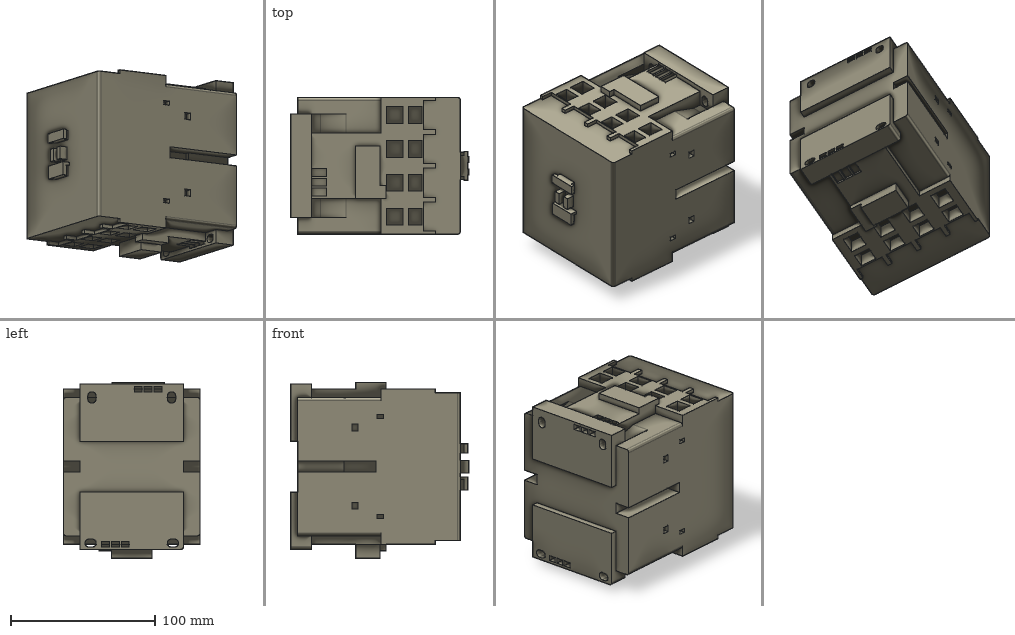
import cadquery as cq


width = 95.0
half_width = width / 2
back_x = 4.7
terminal_x = 62.5
terminal_step_x = 92.3
rib_end_x = 100.4
face_x = 117.75
terminal_top = 54.0
cover_top = 51.4
ledge_top = 48.0
edge_radius = 2.0

pole_pitch = 23.5
pole_count = 4
inner_rib_width = 3.3
outer_rib_width = 2.3

opening_width = 11.6
opening_depth = 14.0
wire_opening_x = (66.5, 78.0)
screw_opening_x = (81.8, 91.2)

bridge_half_width = 22.7
clip_x = (45.1, 62.0)
clip_tab_end_x = 66.2
clip_top = 58.5
clip_far_y = 13.8
tab_inner_y = 13.7
latch_half_width = 14.1
latch_bottom = 63.6

plate_half_width = 36.0
plate_end_x = 14.45
plate_inner_z = 17.6
plate_outer_z = 57.5

ramp_start_x = 20.6
ramp_end_x = 38.5
ramp_floor_z = 42.7

upper_slot_y = 27.65
upper_slot_z = 48.05
upper_slot_width = 5.8
lower_slot_y = 28.55
lower_slot_z = -53.0
lower_slot_width = 5.5
slot_length = 7.8

window_count = 3
window_pitch = 6.8
window_width = 5.4
window_z = (51.8, 55.6)
window_row_y = 11.35
window_end_x = 24.9

groove_height = 7.7
groove_step_x = 37.0
groove_end_x = 59.1
groove_depth = half_width - plate_half_width
groove_undercut = 3.0
groove_deep_depth = groove_depth + groove_undercut
side_pocket_depth = 5.0
square_pocket = (44.65, 27.1, 4.4, 4.7)
narrow_pocket = (62.1, 34.7, 4.5, 2.8)

carrier_neck_x = 120.4
carrier_head_x = 123.0
upper_carrier_half_width = 10.0
lower_carrier_half_width = 9.5
neck_half_width = 7.3
upper_carrier_z = (9.4, 16.0)
lower_carrier_z = (-16.2, -7.0)
lower_lip_z = -9.0
prong_end_x = 123.55
prong_half_height = 4.4
prong_y = (2.2, 6.4)


def block(x_range, y_range, z_range):
    """Axis-aligned block between pairs of limits."""
    size = [abs(limits[1] - limits[0]) for limits in (x_range, y_range, z_range)]
    corner = [min(limits) for limits in (x_range, y_range, z_range)]
    return cq.Workplane("XY").box(*size, centered=False).translate(tuple(corner))


def centred_block(x_range, half_y, z_range):
    """Block that is symmetric about Y = 0."""
    return block(x_range, (-half_y, half_y), z_range)


def make_housing():
    back = centred_block((back_x, terminal_x), half_width, (-ledge_top, ledge_top))
    back = back.edges("|X").fillet(edge_radius)
    terminals = centred_block((terminal_x, terminal_step_x), half_width, (-terminal_top, terminal_top))
    cover = centred_block((terminal_step_x, face_x), half_width, (-cover_top, cover_top))
    cover = cover.edges("|Z and >X").fillet(edge_radius)
    bridge = centred_block((back_x, terminal_x), bridge_half_width, (-terminal_top, terminal_top))
    return back.union(terminals).union(cover).union(bridge)


def make_ribs():
    """Ribs over the cover, between and outside the poles, on both ends."""
    rib_x = (terminal_step_x, rib_end_x)
    rib_z = (-terminal_top, terminal_top)
    outer_y = half_width - outer_rib_width
    ribs = block(rib_x, (outer_y, half_width), rib_z)
    ribs = ribs.union(block(rib_x, (-half_width, -outer_y), rib_z))
    for index in (-1, 0, 1):
        rib_y = index * pole_pitch
        sides = (rib_y - inner_rib_width / 2, rib_y + inner_rib_width / 2)
        ribs = ribs.union(block(rib_x, sides, rib_z))
    return ribs


def make_terminal_openings():
    openings = cq.Workplane("XY")
    for index in range(pole_count):
        pole_y = (index - (pole_count - 1) / 2) * pole_pitch
        sides = (pole_y - opening_width / 2, pole_y + opening_width / 2)
        for opening_x in (wire_opening_x, screw_opening_x):
            for end in (1, -1):
                depth = (end * (terminal_top - opening_depth), end * terminal_top)
                openings = openings.add(block(opening_x, sides, depth))
    return openings.combine()


def make_clip(end):
    """Raised clip on the upper (end = 1) or lower (end = -1) side of the bridge."""
    clip_z = (0, end * clip_top)
    main = block(clip_x, (end * clip_far_y, -end * bridge_half_width), clip_z)
    tab_x = (clip_x[0], clip_tab_end_x)
    tab = block(tab_x, (-end * tab_inner_y, -end * bridge_half_width), (end * ledge_top, end * clip_top))
    return main.union(tab)


def make_latch():
    return centred_block(clip_x, latch_half_width, (-latch_bottom, 0))


def make_plates():
    plate_x = (0, plate_end_x)
    upper = centred_block(plate_x, plate_half_width, (plate_inner_z, plate_outer_z))
    lower = centred_block(plate_x, plate_half_width, (-plate_outer_z, -plate_inner_z))
    lower = lower.edges("|X and <Y and <Z").fillet(edge_radius)
    return upper.union(lower)


def make_ramp_pockets():
    """Wedge-ended pockets beside the bridge, behind the upper plate."""
    profile = [
        (plate_end_x, ledge_top),
        (plate_end_x, ramp_floor_z),
        (ramp_start_x, ramp_floor_z),
        (ramp_end_x, ledge_top),
    ]
    length = plate_half_width - bridge_half_width
    pocket = cq.Workplane("XZ").polyline(profile).close().extrude(-length)
    pocket = pocket.translate((0, bridge_half_width, 0))
    return pocket.union(pocket.mirror("XZ"))


def make_plate_slots():
    plane = cq.Workplane("YZ")
    upper_points = [(-upper_slot_y, upper_slot_z), (upper_slot_y, upper_slot_z)]
    lower_points = [(-lower_slot_y, lower_slot_z), (lower_slot_y, lower_slot_z)]
    upper = plane.pushPoints(upper_points).slot2D(slot_length, upper_slot_width, 90).extrude(plate_end_x)
    lower = plane.pushPoints(lower_points).slot2D(slot_length, lower_slot_width).extrude(plate_end_x)
    return upper.union(lower)


def make_windows(end):
    """Row of windows through a plate, running on as grooves in the bridge."""
    windows = cq.Workplane("XY")
    for index in range(window_count):
        offset = (index - (window_count - 1) / 2) * window_pitch
        window_y = offset - end * window_row_y
        sides = (window_y - window_width / 2, window_y + window_width / 2)
        heights = (end * window_z[0], end * window_z[1])
        windows = windows.add(block((0, window_end_x), sides, heights))
    return windows.combine()


def make_side_groove():
    """Stepped groove along the -Y side."""
    heights = (-groove_height / 2, groove_height / 2)
    shallow = block((back_x, groove_end_x), (-half_width, -half_width + groove_depth), heights)
    deep = block((groove_step_x, groove_end_x), (-half_width, -half_width + groove_deep_depth), heights)
    return shallow.union(deep)


def make_side_pockets():
    """Small rectangular pockets in the -Y side."""
    pockets = cq.Workplane("XY")
    for centre_x, centre_z, length, height in (square_pocket, narrow_pocket):
        for end in (1, -1):
            pocket = cq.Workplane("XY").box(length, 2 * side_pocket_depth, height)
            pockets = pockets.add(pocket.translate((centre_x, -half_width, end * centre_z)))
    return pockets.combine()


def make_actuator():
    neck_x = (face_x, carrier_neck_x)
    head_x = (carrier_neck_x, carrier_head_x)
    actuator = centred_block(neck_x, lower_carrier_half_width, (lower_lip_z, lower_carrier_z[1]))
    carriers = (
        (upper_carrier_z, upper_carrier_half_width),
        (lower_carrier_z, lower_carrier_half_width),
    )
    for carrier_z, head_half_width in carriers:
        actuator = actuator.union(centred_block(neck_x, neck_half_width, carrier_z))
        actuator = actuator.union(centred_block(head_x, head_half_width, carrier_z))
    prong_z = (-prong_half_height, prong_half_height)
    prong = block((face_x, prong_end_x), prong_y, prong_z)
    return actuator.union(prong).union(prong.mirror("XZ"))


housing = make_housing().union(make_ribs()).cut(make_terminal_openings())
for side_cut in (make_side_groove(), make_side_pockets()):
    housing = housing.cut(side_cut).cut(side_cut.mirror("XZ"))
housing = housing.cut(make_ramp_pockets())

result = housing.union(make_plates()).union(make_latch())
for end in (1, -1):
    result = result.union(make_clip(end)).cut(make_windows(end))
result = result.cut(make_plate_slots()).union(make_actuator())